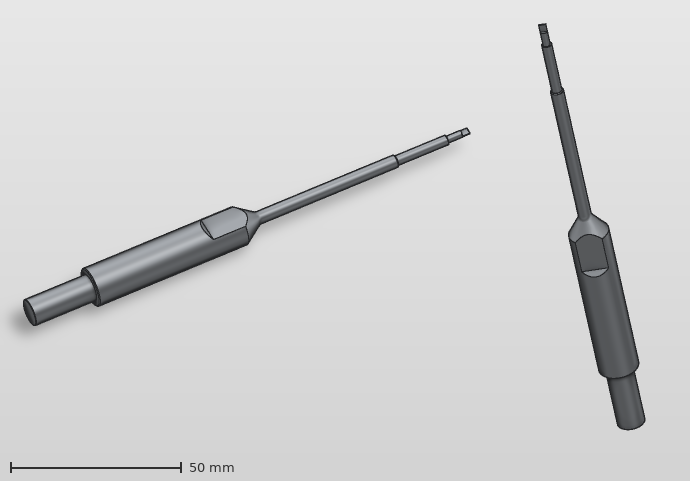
import cadquery as cq
import math

total_length = 145.0
body_diameter = 12.0

blade_length = 2.5
nose_length = 4.8
front_shaft_length = 16.7
main_shaft_length = 45.8
cone_length = 6.0
body_length = 49.3

nose_diameter = 2.2
front_shaft_diameter = 3.0
main_shaft_diameter = 3.9
stub_diameter = 8.3

blade_thickness = 0.5
shoulder_chamfer = 0.3
cone_fillet = 2.3
body_chamfer = 0.3
stub_chamfer = 0.1
across_flats = 9.0
flat_length = 10.6

tip_y = total_length / 2
blade_root_y = tip_y - blade_length
front_shaft_y = blade_root_y - nose_length
main_shaft_y = front_shaft_y - front_shaft_length
cone_tip_y = main_shaft_y - main_shaft_length
cone_base_y = cone_tip_y - cone_length
body_end_y = cone_base_y - body_length
stub_end_y = -total_length / 2


def turned_blank():
    """Revolve the stepped half outline about the Y axis."""
    nose_radius = nose_diameter / 2
    front_radius = front_shaft_diameter / 2
    main_radius = main_shaft_diameter / 2
    body_radius = body_diameter / 2
    stub_radius = stub_diameter / 2

    cone_angle = math.atan2(body_radius - main_radius, cone_length)
    fillet_start_y = cone_tip_y + cone_fillet * math.tan(cone_angle / 2)

    def fillet_point(angle):
        radius = main_radius + cone_fillet * (1 - math.cos(angle))
        return radius, fillet_start_y - cone_fillet * math.sin(angle)

    outline = (
        cq.Workplane("XY")
        .moveTo(0, tip_y)
        .lineTo(nose_radius, tip_y)
        .lineTo(nose_radius, front_shaft_y)
        .lineTo(front_radius, front_shaft_y)
        .lineTo(front_radius, main_shaft_y)
        .lineTo(main_radius - shoulder_chamfer, main_shaft_y)
        .lineTo(main_radius, main_shaft_y - shoulder_chamfer)
        .lineTo(main_radius, fillet_start_y)
        .threePointArc(fillet_point(cone_angle / 2), fillet_point(cone_angle))
        .lineTo(body_radius, cone_base_y)
        .lineTo(body_radius, body_end_y + body_chamfer)
        .lineTo(body_radius - body_chamfer, body_end_y)
        .lineTo(stub_radius, body_end_y)
        .lineTo(stub_radius, stub_end_y + stub_chamfer)
        .lineTo(stub_radius - stub_chamfer, stub_end_y)
        .lineTo(0, stub_end_y)
        .close()
    )
    return outline.revolve(360, (0, 0), (0, 1))


def blade_cutter(side):
    """Material removed above (side = 1) or below (side = -1) the flat blade."""
    height = nose_diameter
    center_z = side * (blade_thickness + height) / 2
    center_y = (tip_y + blade_root_y) / 2
    block = cq.Workplane("XY").box(nose_diameter, blade_length, height)
    return block.translate((0, center_y, center_z))


def wrench_flat_cutter(side):
    """Flat on the +Z or -Z side of the body, ending in a 45 degree run-out at the rear."""
    floor_z = side * across_flats / 2
    outer_z = side * body_diameter
    floor_end_y = cone_base_y - flat_length
    runout_end_y = floor_end_y - (body_diameter - across_flats / 2)
    profile = [
        (cone_tip_y, floor_z),
        (floor_end_y, floor_z),
        (runout_end_y, outer_z),
        (cone_tip_y, outer_z),
    ]
    return cq.Workplane("YZ").polyline(profile).close().extrude(body_diameter, both=True)


result = turned_blank()
for side in (1, -1):
    result = result.cut(blade_cutter(side))
    result = result.cut(wrench_flat_cutter(side))